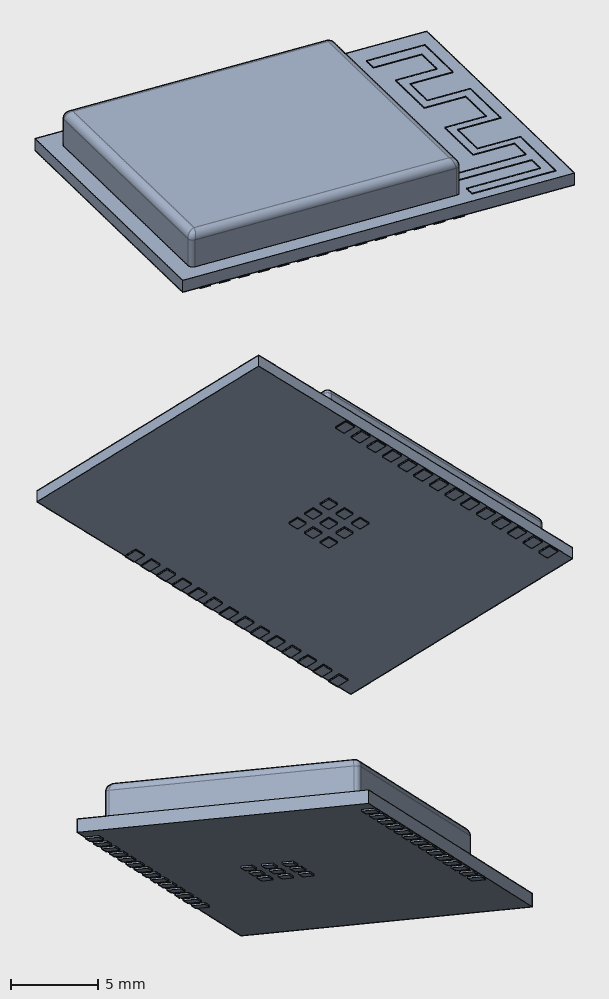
import cadquery as cq

board_width = 18.0
board_length = 25.5
board_thickness = 0.8

pad_thickness = 0.1
pad_pitch = 1.27
pad_width = 0.7
side_pad_length = 0.85
side_pad_inset = 0.05
side_pad_count = 14
first_side_pad_y = -11.25
ground_pad_size = 0.7
ground_pad_count = 3
ground_grid_x = -1.5
rows_below_ground_grid = 8.5
ground_grid_y = first_side_pad_y + rows_below_ground_grid * pad_pitch

overall_height = 3.2
can_width = 15.75
can_length = 17.6
can_height = overall_height - pad_thickness - board_thickness
can_center_x = 0.12
can_center_y = -2.9
can_side_radius = 0.3
can_top_radius = 0.5

trace_thickness = 0.05
trace_edge_margin = 0.85
top_run_width = 0.65
meander_depth = 2.8
low_run_width = 0.55
open_leg_length = 3.8
feed_leg_length = 5.45
trace_top_y = board_length / 2 - trace_edge_margin
trace_inner_top_y = trace_top_y - top_run_width
meander_inner_y = trace_top_y - meander_depth
meander_low_y = meander_inner_y - low_run_width
open_end_y = trace_top_y - open_leg_length
feed_end_y = trace_top_y - feed_leg_length

open_leg_left, open_leg_right = -7.65, -6.8
first_drop_left, first_drop_right = -4.95, -4.2
first_rise_left, first_rise_right = -2.1, -1.45
second_drop_left, second_drop_right = 1.05, 1.6
second_rise_left, second_rise_right = 4.0, 4.5
inner_leg_left, inner_leg_right = 5.9, 6.6
outer_leg_left, outer_leg_right = 7.65, 8.3


def box_on(width, length, height, x, y, z):
    """Box centred at (x, y) and standing on height z."""
    return cq.Workplane("XY").box(width, length, height, centered=(True, True, False)).translate((x, y, z))


def make_board():
    return box_on(board_width, board_length, board_thickness, 0, 0, 0)


def make_can():
    """Shield can with rounded upright edges and a larger round around its top."""
    can = box_on(can_width, can_length, can_height, can_center_x, can_center_y, board_thickness)
    can = can.edges("|Z").fillet(can_side_radius)
    return can.faces(">Z").edges().fillet(can_top_radius)


def make_antenna():
    """Meandering trace from its open end on the left to the two feed legs on the right."""
    outline = [
        (open_leg_left, open_end_y),
        (open_leg_left, trace_top_y),
        (first_drop_right, trace_top_y),
        (first_drop_right, meander_inner_y),
        (first_rise_left, meander_inner_y),
        (first_rise_left, trace_top_y),
        (second_drop_right, trace_top_y),
        (second_drop_right, meander_inner_y),
        (second_rise_left, meander_inner_y),
        (second_rise_left, trace_top_y),
        (outer_leg_right, trace_top_y),
        (outer_leg_right, feed_end_y),
        (outer_leg_left, feed_end_y),
        (outer_leg_left, trace_inner_top_y),
        (inner_leg_right, trace_inner_top_y),
        (inner_leg_right, feed_end_y),
        (inner_leg_left, feed_end_y),
        (inner_leg_left, trace_inner_top_y),
        (second_rise_right, trace_inner_top_y),
        (second_rise_right, meander_low_y),
        (second_drop_left, meander_low_y),
        (second_drop_left, trace_inner_top_y),
        (first_rise_right, trace_inner_top_y),
        (first_rise_right, meander_low_y),
        (first_drop_left, meander_low_y),
        (first_drop_left, trace_inner_top_y),
        (open_leg_right, trace_inner_top_y),
        (open_leg_right, open_end_y),
    ]
    board_top = cq.Workplane("XY").workplane(offset=board_thickness)
    return board_top.polyline(outline).close().extrude(trace_thickness)


def make_side_pads():
    """One row of pads along each long side of the board."""
    pads = cq.Workplane("XY")
    pad_x = board_width / 2 - side_pad_inset - side_pad_length / 2
    for index in range(side_pad_count):
        y = first_side_pad_y + index * pad_pitch
        for x in (-pad_x, pad_x):
            pads = pads.add(box_on(side_pad_length, pad_width, pad_thickness, x, y, -pad_thickness))
    return pads.combine()


def make_ground_pads():
    """Square grid of ground pads."""
    return (
        cq.Workplane("XY")
        .center(ground_grid_x, ground_grid_y)
        .rarray(pad_pitch, pad_pitch, ground_pad_count, ground_pad_count)
        .rect(ground_pad_size, ground_pad_size)
        .extrude(-pad_thickness)
    )


result = (
    make_board()
    .union(make_can())
    .union(make_antenna())
    .union(make_side_pads())
    .union(make_ground_pads())
)